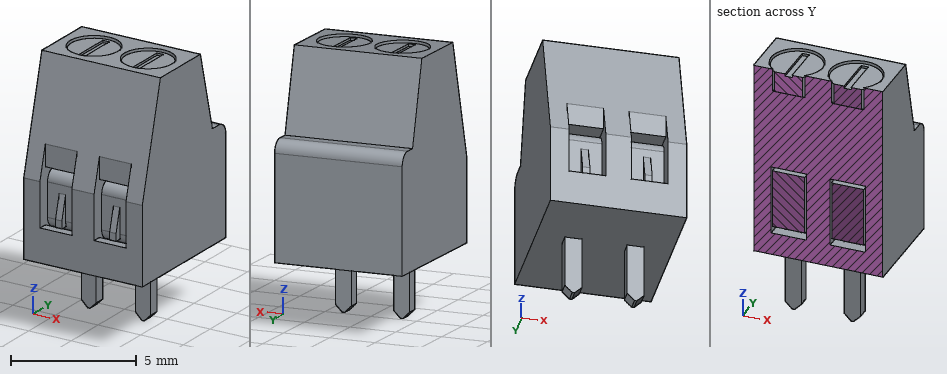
import cadquery as cq

pole_pitch = 2.54
pole_centres = [-pole_pitch / 2, pole_pitch / 2]

total_height = 11.1
pin_length = 2.6
housing_width = 5.57
housing_depth = 6.25
housing_height = total_height - pin_length
front_wall_height = 3.5
top_front_y = 1.35
top_depth = 3.0
ledge_height = 5.01
ledge_depth = 1.0
ledge_radius = 0.52
front_slope = top_front_y / (housing_height - front_wall_height)

entry_width = 1.5
entry_depth = 0.4
entry_floor_z = 1.51
cavity_floor_z = 1.0
cavity_top_z = 4.0

clamp_width = 1.4
clamp_front_y = 0.49
clamp_bottom_z = 1.29
clamp_top_z = 3.85
clamp_radius = 0.52
guide_width = 0.3
guide_front_y = 0.21
guide_bottom_z = 1.59
guide_bend_z = 1.93
pin_width = 0.7
pin_thickness = 0.5
pin_centre_y = 2.71
pin_tip_chamfer = 0.3
clamp_back_y = pin_centre_y + pin_thickness / 2

screw_radius = 1.07
screw_hole_radius = 1.11
screw_hole_depth = 1.0
screw_recess = 0.1
screw_centre_y = top_front_y + top_depth / 2
slot_width = 0.3
slot_length = 1.8
slot_depth = 0.1


def box_between(x_centre, width, y_range, z_range):
    """Box of the given width centred on x_centre, spanning the Y and Z ranges."""
    size = (width, y_range[1] - y_range[0], z_range[1] - z_range[0])
    corner = (x_centre, y_range[0], z_range[0])
    return cq.Workplane("XY").box(*size, centered=(True, False, False)).translate(corner)


def extrude_profile(x_centre, width, points):
    """Prism of the given width centred on x_centre, with a (Y, Z) outline."""
    return (
        cq.Workplane("YZ", origin=(x_centre, 0, 0))
        .polyline(points)
        .close()
        .extrude(width / 2, both=True)
    )


def make_clamp_block(x_centre):
    """Clamp block with rounded upper and lower front edges."""
    clamp = box_between(
        x_centre, clamp_width, (clamp_front_y, clamp_back_y), (clamp_bottom_z, clamp_top_z)
    )
    return clamp.faces("<Y").edges("|X").fillet(clamp_radius)


def make_pin(x_centre):
    """Solder pin from its chamfered tip up to the clamp block, flush with the back of the block."""
    pin_y = (clamp_back_y - pin_thickness, clamp_back_y)
    pin = box_between(x_centre, pin_width, pin_y, (-pin_length, clamp_bottom_z))
    return pin.faces("<Z").edges("|Y").chamfer(pin_tip_chamfer)


def make_guide(x_centre):
    """Wire guide: a wedge on the clamp face, sloping parallel to the housing front."""
    guide_top_z = guide_bend_z + (clamp_front_y - guide_front_y) / front_slope
    root_y = clamp_front_y + clamp_radius
    outline = [
        (root_y, guide_bottom_z),
        (guide_front_y, guide_bottom_z),
        (guide_front_y, guide_bend_z),
        (clamp_front_y, guide_top_z),
        (root_y, guide_top_z),
    ]
    return extrude_profile(x_centre, guide_width, outline)


def make_terminal(x_centre):
    """One-piece terminal of clamp block, solder pin and wire guide."""
    return make_clamp_block(x_centre).union(make_pin(x_centre)).union(make_guide(x_centre))


def make_screw(x_centre):
    """Slotted screw standing on the floor of its hole, just below the housing top."""
    hole_floor_z = housing_height - screw_hole_depth
    return (
        cq.Workplane("XY", origin=(x_centre, screw_centre_y, hole_floor_z))
        .circle(screw_radius)
        .extrude(screw_hole_depth - screw_recess)
        .faces(">Z")
        .workplane()
        .rect(slot_width, slot_length)
        .cutBlind(-slot_depth)
    )


def make_housing_shell():
    """Housing outline with sloping front and back and a rounded rear ledge."""
    outline = [
        (0, 0),
        (housing_depth, 0),
        (housing_depth, ledge_height),
        (housing_depth - ledge_depth, ledge_height),
        (top_front_y + top_depth, housing_height),
        (top_front_y, housing_height),
        (0, front_wall_height),
    ]
    shell = extrude_profile(0, housing_width, outline)
    return shell.faces(">Y").edges(">Z").fillet(ledge_radius)


def make_wire_entry(x_centre):
    """Shallow recess open to the sloping front, with a cavity behind it for the clamp block."""
    recess = box_between(x_centre, entry_width, (0, entry_depth), (entry_floor_z, housing_height))
    cavity_y = (entry_depth, clamp_back_y)
    cavity = box_between(x_centre, entry_width, cavity_y, (cavity_floor_z, cavity_top_z))
    return recess.union(cavity)


def make_screw_hole(x_centre):
    """Blind hole in the housing top, slightly wider than the screw."""
    return (
        cq.Workplane("XY", origin=(x_centre, screw_centre_y, housing_height))
        .circle(screw_hole_radius)
        .extrude(-screw_hole_depth)
    )


terminals = [make_terminal(x) for x in pole_centres]
screws = [make_screw(x) for x in pole_centres]

housing = make_housing_shell()
for x in pole_centres:
    housing = housing.cut(make_wire_entry(x)).cut(make_screw_hole(x))
for terminal in terminals:
    housing = housing.cut(terminal)

bodies = [housing, *terminals, *screws]
result = cq.Compound.makeCompound([body.val() for body in bodies])